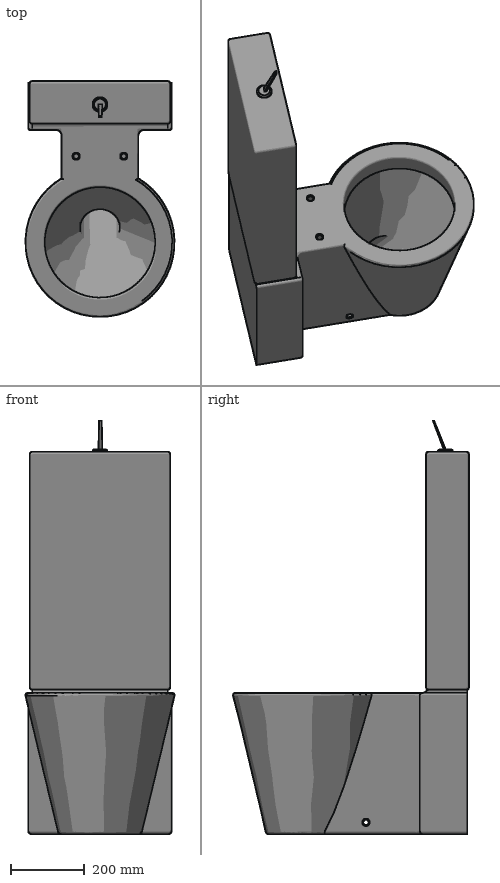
import cadquery as cq
import math


rim_height = 384.0
rim_sharp_radius = 205.0
foot_radius = 112.0
back_y = 434.0
block_width = 390.0
block_front_y = 305.0
neck_width = 209.0
top_rounding = 7.0
bottom_rounding = 10.0
block_corner_radius = 7.0
neck_root_radius = 15.0

pad_width = 368.0
pad_height = 8.0
pad_front_y = 325.0

opening_radius = 300.0 / 2
opening_rounding = 7.0
throat_height = 331.0
mouth_half_width = 54.0
mouth_half_depth = 50.0
mouth_y = 39.0
mouth_height = 157.0
drain_slope = 45.0
drain_length = 146.0

hole_diameter = 15.0
countersink_diameter = 20.0
seat_hole_spacing = 129.0
seat_hole_y = 234.0
seat_hole_depth = 34.0
floor_hole_y = 158.0
floor_hole_height = 33.0

cistern_width = 382.0
cistern_back_y = 438.0
cistern_front_y = 321.0
cistern_top = 1039.0
cistern_rounding = 8.0
cistern_bottom = rim_height + pad_height

escutcheon_radius = 20.0
escutcheon_height = 7.0
escutcheon_chamfer = 5.0
escutcheon_y = 374.0
lever_tip_height = 1123.0
lever_x = 1.0
lever_foot_y = 372.0
lever_tip_y = 342.0
lever_foot_width = 11.0
lever_foot_depth = 6.0
lever_tip_width = 8.0
lever_tip_depth = 3.0


def block_and_neck():
    """Rear block and neck as one T-shaped prism, square only along the back."""
    half_block = block_width / 2
    half_neck = neck_width / 2
    outline = [
        (-half_block, back_y),
        (-half_block, block_front_y),
        (-half_neck, block_front_y),
        (-half_neck, 0),
        (half_neck, 0),
        (half_neck, block_front_y),
        (half_block, block_front_y),
        (half_block, back_y),
    ]
    body = cq.Workplane("XY").polyline(outline).close().extrude(rim_height)
    for side in (-1, 1):
        block_corner = cq.NearestToPointSelector((side * half_block, block_front_y, rim_height / 2))
        body = body.edges(block_corner).fillet(block_corner_radius)
    body = body.faces(">Z").edges("not >Y").fillet(top_rounding)
    for side in (-1, 1):
        neck_root = cq.NearestToPointSelector((side * half_neck, block_front_y, rim_height / 2))
        body = body.edges(neck_root).fillet(neck_root_radius)
    return body.faces("<Z").edges("not >Y").fillet(bottom_rounding)


def cistern_pad():
    """Low pad whose front edge sweeps down into the block in a concave curve."""
    foot_y = block_front_y + block_corner_radius
    sweep = pad_front_y - foot_y
    sweep_radius = (sweep**2 + pad_height**2) / (2 * pad_height)
    return (
        cq.Workplane("YZ", origin=(-pad_width / 2, 0, 0))
        .moveTo(back_y, rim_height - top_rounding)
        .lineTo(back_y, cistern_bottom)
        .lineTo(pad_front_y, cistern_bottom)
        .radiusArc((foot_y, rim_height), sweep_radius)
        .lineTo(foot_y, rim_height - top_rounding)
        .close()
        .extrude(pad_width)
    )


def bowl_shell():
    """Solid tapered outside of the bowl."""
    shell = (
        cq.Workplane("XY")
        .circle(foot_radius)
        .workplane(offset=rim_height)
        .circle(rim_sharp_radius)
        .loft(ruled=True)
    )
    return shell.faces(">Z").edges().fillet(top_rounding).faces("<Z").edges().fillet(bottom_rounding)


def bowl_cavity():
    """Cylindrical throat, oblique funnel and the drain that slopes down to the back."""
    throat_depth = rim_height - throat_height
    throat = (
        cq.Workplane("XY", origin=(0, 0, throat_height))
        .circle(opening_radius)
        .extrude(throat_depth)
    )
    funnel = (
        cq.Workplane("XY", origin=(0, 0, throat_height))
        .circle(opening_radius)
        .workplane(offset=mouth_height - throat_height)
        .center(0, mouth_y)
        .ellipse(mouth_half_width, mouth_half_depth)
        .loft(ruled=True)
    )
    drain_run = drain_length * math.cos(math.radians(drain_slope))
    drain_drop = drain_length * math.sin(math.radians(drain_slope))
    drain = (
        cq.Workplane("XY", origin=(0, mouth_y, mouth_height))
        .ellipse(mouth_half_width, mouth_half_depth)
        .workplane(offset=-drain_drop)
        .center(0, drain_run)
        .ellipse(mouth_half_width, mouth_half_depth)
        .loft(ruled=True)
    )
    return throat.union(funnel).union(drain)


def countersunk_hole(mouth, inward, depth):
    """Cutter for a round hole with a 45 degree countersink, starting at the mouth and going inward."""
    hole_radius = hole_diameter / 2
    mouth_plane = cq.Plane(origin=mouth, normal=inward)
    shaft = cq.Workplane(mouth_plane).circle(hole_radius).extrude(depth)
    widening = countersink_diameter / 2 - hole_radius
    countersink = (
        cq.Workplane(mouth_plane)
        .circle(hole_radius + widening)
        .workplane(offset=widening)
        .circle(hole_radius)
        .loft(ruled=True)
    )
    return shaft.union(countersink)


def drill_holes(body):
    """Two blind seat holes in the neck and a floor-fixing hole through both neck sides."""
    half_neck = neck_width / 2
    for side in (-1, 1):
        seat_mouth = (side * seat_hole_spacing / 2, seat_hole_y, rim_height)
        body = body.cut(countersunk_hole(seat_mouth, (0, 0, -1), seat_hole_depth))
        floor_mouth = (side * half_neck, floor_hole_y, floor_hole_height)
        body = body.cut(countersunk_hole(floor_mouth, (-side, 0, 0), half_neck))
    return body


def make_pedestal():
    body = block_and_neck().union(cistern_pad()).union(bowl_shell()).cut(bowl_cavity())
    opening_edge = cq.NearestToPointSelector((0, 0, rim_height))
    body = body.edges("%CIRCLE").edges(opening_edge).fillet(opening_rounding)
    return drill_holes(body)


def make_cistern():
    depth = cistern_back_y - cistern_front_y
    height = cistern_top - cistern_bottom
    centre_y = (cistern_back_y + cistern_front_y) / 2
    return (
        cq.Workplane("XY", origin=(0, centre_y, cistern_bottom))
        .box(cistern_width, depth, height, centered=(True, True, False))
        .edges()
        .fillet(cistern_rounding)
    )


def make_escutcheon():
    return (
        cq.Workplane("XY", origin=(0, escutcheon_y, cistern_top))
        .circle(escutcheon_radius)
        .extrude(escutcheon_height)
        .faces(">Z")
        .chamfer(escutcheon_chamfer)
    )


def make_lever():
    """Slender tapered stick that leans forward from the top of the escutcheon."""
    foot_height = cistern_top + escutcheon_height
    return (
        cq.Workplane("XY", origin=(lever_x, lever_foot_y, foot_height))
        .rect(lever_foot_width, lever_foot_depth)
        .workplane(offset=lever_tip_height - foot_height)
        .center(0, lever_tip_y - lever_foot_y)
        .rect(lever_tip_width, lever_tip_depth)
        .loft(ruled=True)
    )


pedestal = make_pedestal()
cistern = make_cistern()
escutcheon = make_escutcheon()
lever = make_lever()

result = cq.Compound.makeCompound([pedestal.val(), cistern.val(), escutcheon.val(), lever.val()])